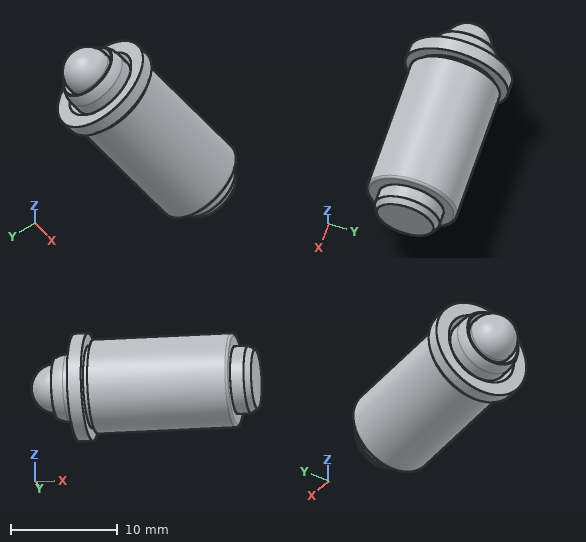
import cadquery as cq
import math


flange_radius = 5.08
flange_start = 4.26
flange_thickness = 1.33
groove_radius = 3.9
groove_width = 0.5
barrel_radius = 4.44
barrel_end = 19.5
barrel_fillet = 0.25
mouth_radius = 3.69

sleeve_radius = 3.2
sleeve_start = 2.34
sleeve_end = 21.43
crimp_length = 1.18
crimp_radius = 2.9
tail_chamfer_length = 0.65
tail_radius = 2.8
lip_width = 0.1

pin_radius = 2.38
pin_end = 10.72


def revolve_about_x(profile):
    """Revolve a closed XY profile a full turn about the X axis."""
    return profile.close().revolve(360, (0, 0, 0), (1, 0, 0))


def make_housing():
    """Flanged barrel with a relief groove and a 45 degree mouth on a through bore."""
    flange_end = flange_start + flange_thickness
    groove_end = flange_end + groove_width
    mouth_depth = mouth_radius - sleeve_radius
    profile = (
        cq.Workplane("XY")
        .moveTo(flange_start, mouth_radius)
        .lineTo(flange_start, flange_radius)
        .lineTo(flange_end, flange_radius)
        .lineTo(flange_end, groove_radius)
        .lineTo(groove_end, groove_radius)
        .lineTo(groove_end, barrel_radius)
        .lineTo(barrel_end - barrel_fillet, barrel_radius)
        .radiusArc((barrel_end, barrel_radius - barrel_fillet), barrel_fillet)
        .lineTo(barrel_end, sleeve_radius)
        .lineTo(flange_start + mouth_depth, sleeve_radius)
    )
    return revolve_about_x(profile)


def make_sleeve():
    """Sleeve with a rounded-in front rim, a chamfered tail and a countersunk blind bore."""
    crimp_drop = sleeve_radius - crimp_radius
    crimp_arc_radius = (crimp_length**2 + crimp_drop**2) / (2 * crimp_drop)
    countersink_radius = crimp_radius - lip_width
    countersink_depth = countersink_radius - pin_radius
    profile = (
        cq.Workplane("XY")
        .moveTo(sleeve_start, countersink_radius)
        .lineTo(sleeve_start, crimp_radius)
        .radiusArc((sleeve_start + crimp_length, sleeve_radius), crimp_arc_radius)
        .lineTo(sleeve_end - tail_chamfer_length, sleeve_radius)
        .lineTo(sleeve_end, tail_radius)
        .lineTo(sleeve_end, 0)
        .lineTo(pin_end, 0)
        .lineTo(pin_end, pin_radius)
        .lineTo(sleeve_start + countersink_depth, pin_radius)
    )
    return revolve_about_x(profile)


def make_pin():
    """Round pin with a hemispherical nose."""
    nose_middle = pin_radius * math.sqrt(0.5)
    profile = (
        cq.Workplane("XY")
        .moveTo(0, 0)
        .threePointArc((pin_radius - nose_middle, nose_middle), (pin_radius, pin_radius))
        .lineTo(pin_end, pin_radius)
        .lineTo(pin_end, 0)
    )
    return revolve_about_x(profile)


housing = make_housing()
sleeve = make_sleeve()
pin = make_pin()

result = cq.Compound.makeCompound([housing.val(), sleeve.val(), pin.val()])